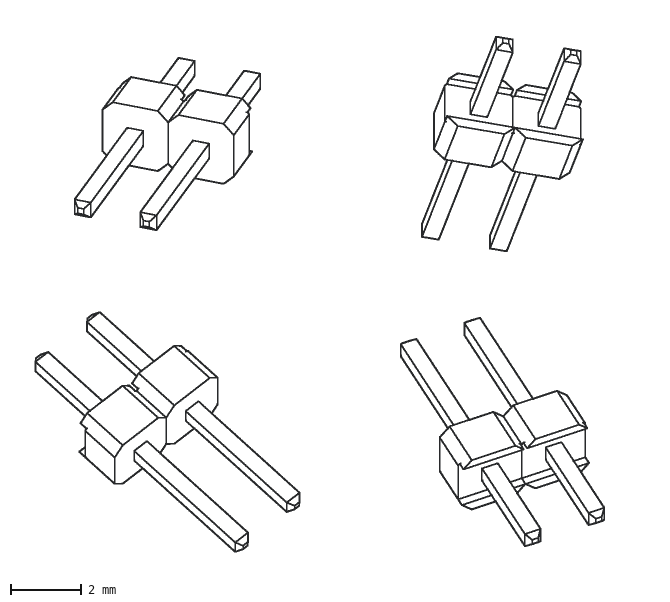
import cadquery as cq

unit_count = 2
pitch = 2.0
total_length = 8.7

block_size = pitch
block_depth = 1.5
block_chamfer = 0.31

slot_depth = 0.25
slot_roof_drop = 0.26
slot_floor_rise = block_chamfer
slot_height = block_size - slot_roof_drop - slot_floor_rise

pin_width = 0.5
pin_front_reach = 4.4
tip_chamfer = 0.16


def make_block():
    """Octagonal block with a slot across its rear face."""
    block = (
        cq.Workplane("XY")
        .box(block_size, block_depth, block_size, centered=(True, False, True))
        .edges("|Y")
        .chamfer(block_chamfer)
    )
    slot = (
        cq.Workplane("XY")
        .box(block_size, slot_depth, slot_height, centered=(True, False, False))
        .translate((0, block_depth - slot_depth, slot_floor_rise - block_size / 2))
    )
    return block.cut(slot)


def make_pin():
    """Square pin along Y, tapered at both ends."""
    return (
        cq.Workplane("XY")
        .box(pin_width, total_length, pin_width, centered=(True, False, True))
        .translate((0, -pin_front_reach, 0))
        .faces("<Y")
        .chamfer(tip_chamfer)
        .faces(">Y")
        .chamfer(tip_chamfer)
    )


def make_pin_unit(x_center):
    """One block and its pin as a single solid, centred at x_center."""
    return make_block().union(make_pin()).translate((x_center, 0, 0))


first_center = -pitch * (unit_count - 1) / 2
pin_units = []
for index in range(unit_count):
    pin_units.append(make_pin_unit(first_center + index * pitch))

result = cq.Compound.makeCompound([unit.val() for unit in pin_units])